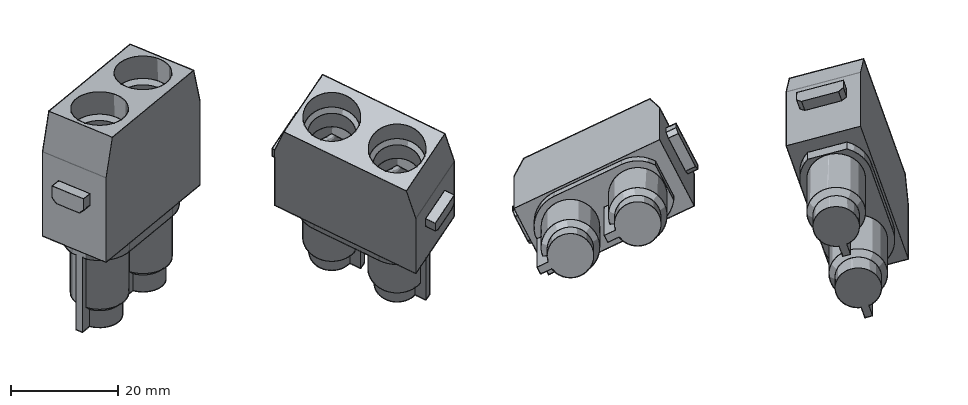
import cadquery as cq

HEIGHT = 47.15
BLOCK_WIDTH = 14.5
BLOCK_LENGTH = 30.3
BLOCK_BOTTOM = 19.65
TAPER_BOTTOM = 39.05
TAPER_INSET = 2.05

TAB_REACH = 2.07
TAB_HEIGHT = 3.65
TAB_CHAMFER = 0.95
FRONT_TAB_WIDTH = 7.15
FRONT_TAB_TOP = 33.9
REAR_TAB_WIDTH = 9.1
REAR_TAB_TOP = 34.25

PITCH = 14.0
FLANGE_RADIUS = 6.8
FLANGE_BOTTOM = 17.15
FLANGE_REAR_REACH = 5.6
TUBE_RADIUS = 5.45
TUBE_END_RADIUS = 4.35
TUBE_CONE_TOP = 5.05
RIB_WIDTH = 1.5
RIB_REACH = 6.6

HOLE_RADIUS = 5.38
HOLE_DEPTH = 5.15
CONTACT_SETBACK = 4.7
CONTACT_RADIUS = 4.53
SPIKE_RADIUS = 3.5
FUNNEL_DEPTH = 1.8
SPIKE_HEIGHT = 6.6

AXES_Y = [-PITCH / 2, PITCH / 2]
HOLE_FLOOR = HEIGHT - HOLE_DEPTH
SHOULDER_BOTTOM = HOLE_FLOOR - (HOLE_RADIUS - CONTACT_RADIUS)
CONTACT_TOP = SHOULDER_BOTTOM - CONTACT_SETBACK
CONTACT_BOTTOM = FLANGE_BOTTOM
FUNNEL_BOTTOM = CONTACT_TOP - FUNNEL_DEPTH
TUBE_CONE_BOTTOM = TUBE_CONE_TOP - (TUBE_RADIUS - TUBE_END_RADIUS)


def revolve_profile(radius_height_points, axis_y):
    """Turn a closed (radius, height) outline about the vertical line at x = 0, y = axis_y."""
    outline = cq.Workplane("XZ").polyline(radius_height_points).close()
    return outline.revolve(360, (0, 0, 0), (0, 1, 0)).translate((0, axis_y, 0))


def make_block():
    """Upper block, tapered towards the top at both ends."""
    half_length = BLOCK_LENGTH / 2
    half_top = half_length - TAPER_INSET
    outline = [
        (-half_length, BLOCK_BOTTOM),
        (half_length, BLOCK_BOTTOM),
        (half_length, TAPER_BOTTOM),
        (half_top, HEIGHT),
        (-half_top, HEIGHT),
        (-half_length, TAPER_BOTTOM),
    ]
    return cq.Workplane("YZ").polyline(outline).close().extrude(BLOCK_WIDTH / 2, both=True)


def make_tab(width, top, end):
    """Tab with chamfered lower corners; end is -1 for the -Y end of the block, 1 for the +Y end."""
    centre_y = end * (BLOCK_LENGTH + TAB_REACH) / 2
    tab = cq.Workplane("XY").box(width, TAB_REACH, TAB_HEIGHT)
    tab = tab.faces("<Z").edges("|Y").chamfer(TAB_CHAMFER)
    return tab.translate((0, centre_y, top - TAB_HEIGHT / 2))


def make_flange():
    """Round-ended flange, trimmed flat at both ends."""
    front = AXES_Y[0] - RIB_REACH
    rear = AXES_Y[1] + FLANGE_REAR_REACH
    thickness = BLOCK_BOTTOM - FLANGE_BOTTOM
    slot_length = PITCH + 2 * FLANGE_RADIUS
    flange = cq.Workplane("XY").workplane(offset=FLANGE_BOTTOM)
    flange = flange.slot2D(slot_length, 2 * FLANGE_RADIUS, 90).extrude(thickness)
    trim = cq.Workplane("XY").box(2 * FLANGE_RADIUS, rear - front, HEIGHT)
    return flange.intersect(trim.translate((0, (front + rear) / 2, HEIGHT / 2)))


def make_tube(axis_y):
    """Stepped tube below the flange, with a flat rib on its -Y side."""
    profile = [
        (0, 0),
        (TUBE_END_RADIUS, 0),
        (TUBE_END_RADIUS, TUBE_CONE_BOTTOM),
        (TUBE_RADIUS, TUBE_CONE_TOP),
        (TUBE_RADIUS, FLANGE_BOTTOM),
        (0, FLANGE_BOTTOM),
    ]
    rib = cq.Workplane("XY").box(RIB_WIDTH, RIB_REACH, FLANGE_BOTTOM)
    rib = rib.translate((0, axis_y - RIB_REACH / 2, FLANGE_BOTTOM / 2))
    return revolve_profile(profile, axis_y).union(rib)


def make_contact_hole(axis_y):
    """Space for mating part and contact: wide hole, 45 degree shoulder, straight contact bore."""
    profile = [
        (0, CONTACT_BOTTOM),
        (CONTACT_RADIUS, CONTACT_BOTTOM),
        (CONTACT_RADIUS, SHOULDER_BOTTOM),
        (HOLE_RADIUS, HOLE_FLOOR),
        (HOLE_RADIUS, HEIGHT),
        (0, HEIGHT),
    ]
    return revolve_profile(profile, axis_y)


def make_housing():
    body = make_block().union(make_flange())
    body = body.union(make_tab(FRONT_TAB_WIDTH, FRONT_TAB_TOP, -1))
    body = body.union(make_tab(REAR_TAB_WIDTH, REAR_TAB_TOP, 1))
    for axis_y in AXES_Y:
        body = body.union(make_tube(axis_y))
    for axis_y in AXES_Y:
        body = body.cut(make_contact_hole(axis_y))
    return body


def make_contact(axis_y):
    """Round contact with a funnel-shaped mouth and a pointed spike rising from the funnel bottom."""
    profile = [
        (0, CONTACT_BOTTOM),
        (CONTACT_RADIUS, CONTACT_BOTTOM),
        (CONTACT_RADIUS, CONTACT_TOP),
        (SPIKE_RADIUS, FUNNEL_BOTTOM),
        (0, FUNNEL_BOTTOM + SPIKE_HEIGHT),
    ]
    return revolve_profile(profile, axis_y)


housing = make_housing()
contacts = [make_contact(axis_y) for axis_y in AXES_Y]

result = cq.Compound.makeCompound([housing.val(), *[contact.val() for contact in contacts]])